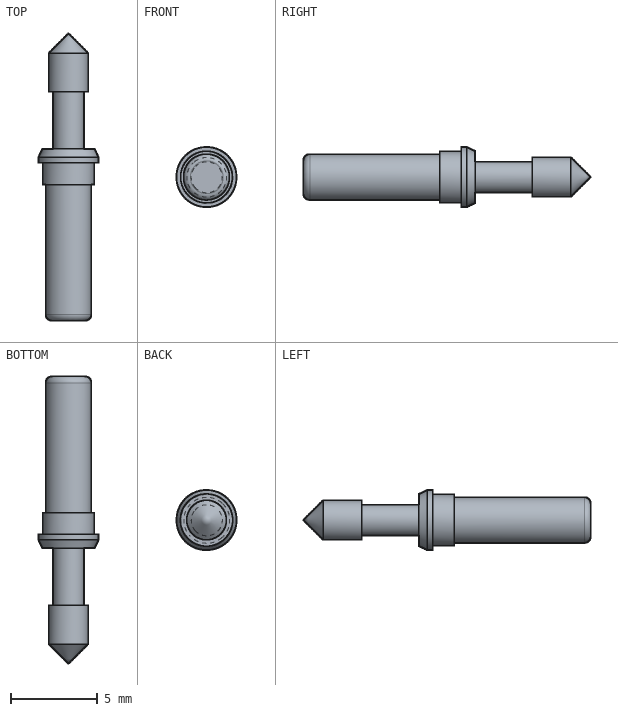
import cadquery as cq

total_length = 16.7
head_length = 3.4
neck_length = 3.3
flange_length = 0.82
flange_taper_length = 0.48
collar_length = 1.25

head_radius = 1.15
neck_radius = 0.9
flange_radius = 1.75
flange_top_radius = 1.52
collar_radius = 1.5
barrel_radius = 1.34
barrel_end_fillet = 0.38

tip_length = head_radius

head_bottom = total_length - head_length
flange_top = head_bottom - neck_length
flange_bottom = flange_top - flange_length
collar_bottom = flange_bottom - collar_length

profile = (
    cq.Workplane("XY")
    .moveTo(0, 0)
    .lineTo(barrel_radius, 0)
    .lineTo(barrel_radius, collar_bottom)
    .lineTo(collar_radius, collar_bottom)
    .lineTo(collar_radius, flange_bottom)
    .lineTo(flange_radius, flange_bottom)
    .lineTo(flange_radius, flange_top - flange_taper_length)
    .lineTo(flange_top_radius, flange_top)
    .lineTo(neck_radius, flange_top)
    .lineTo(neck_radius, head_bottom)
    .lineTo(head_radius, head_bottom)
    .lineTo(head_radius, total_length - tip_length)
    .lineTo(0, total_length)
    .close()
)
pin = profile.revolve(360, (0, 0, 0), (0, 1, 0))

result = pin.faces("<Y").edges().fillet(barrel_end_fillet)